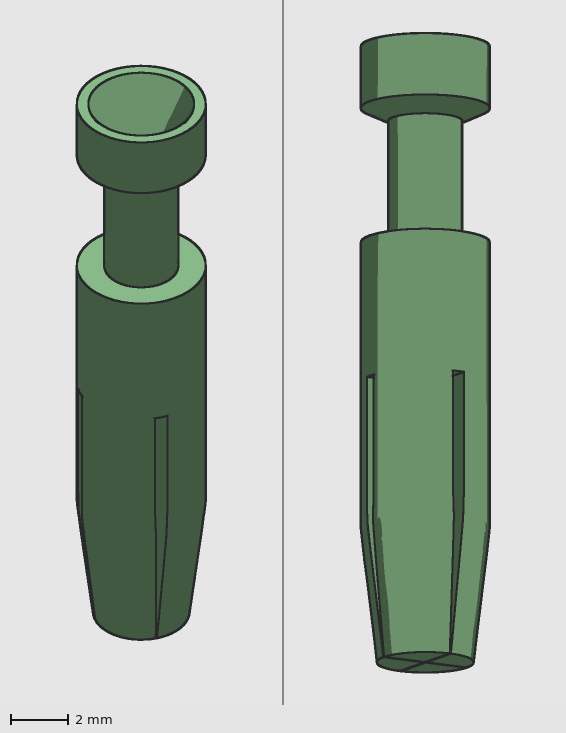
import cadquery as cq
import math

total_height = 22.0
taper_start_z = 3.7
bevel_end_z = 4.49
barrel_end_z = 4.82
barrel_top_z = 15.0
head_cone_z = 19.34
head_bottom_z = 19.8

barrel_diameter = 4.5
neck_diameter = 2.6
bevel_diameter = 4.45
taper_diameter = 4.27
tip_diameter = 3.39

funnel_diameter = 3.7
funnel_depth = 2.0
hole_diameter = 1.4
drill_point_angle = 120.0

slot_height = 9.99
slot_width = 0.46
slot_narrowing_z = 6.0
slot_tip_width = 0.05


def revolved(profile):
    """Turn a closed XZ profile, with X as the radius, about the Z axis."""
    return profile.close().revolve(360, (0, 0, 0), (0, 1, 0))


def pin_body():
    barrel_radius = barrel_diameter / 2
    neck_radius = neck_diameter / 2
    bevel_radius = bevel_diameter / 2
    taper_radius = taper_diameter / 2
    tip_radius = tip_diameter / 2
    return revolved(
        cq.Workplane("XZ")
        .moveTo(0, 0)
        .lineTo(tip_radius, 0)
        .lineTo(taper_radius, taper_start_z)
        .lineTo(bevel_radius, bevel_end_z)
        .lineTo(barrel_radius, barrel_end_z)
        .lineTo(barrel_radius, barrel_top_z)
        .lineTo(neck_radius, barrel_top_z)
        .lineTo(neck_radius, head_cone_z)
        .lineTo(barrel_radius, head_bottom_z)
        .lineTo(barrel_radius, total_height)
        .lineTo(0, total_height)
    )


def funnel_hole():
    hole_radius = hole_diameter / 2
    funnel_bottom_z = total_height - funnel_depth
    point_depth = hole_radius / math.tan(math.radians(drill_point_angle / 2))
    return revolved(
        cq.Workplane("XZ")
        .moveTo(0, total_height)
        .lineTo(funnel_diameter / 2, total_height)
        .lineTo(hole_radius, funnel_bottom_z)
        .lineTo(0, funnel_bottom_z - point_depth)
    )


def slot(plane):
    """One slot through the whole barrel, cut square to the given plane."""
    half_width = slot_width / 2
    half_tip_width = slot_tip_width / 2
    return (
        cq.Workplane(plane)
        .polyline([
            (-half_tip_width, 0),
            (half_tip_width, 0),
            (half_width, slot_narrowing_z),
            (half_width, slot_height),
            (-half_width, slot_height),
            (-half_width, slot_narrowing_z),
        ])
        .close()
        .extrude(barrel_diameter, both=True)
    )


result = pin_body().cut(funnel_hole())
for slot_plane in ("XZ", "YZ"):
    result = result.cut(slot(slot_plane))